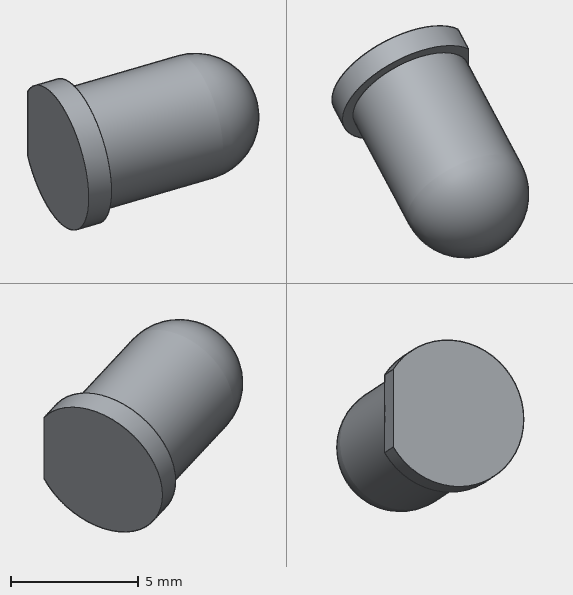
import cadquery as cq

total_length = 8.6
body_diameter = 5.0
flange_diameter = 5.9
flange_thickness = 1.0

body_radius = body_diameter / 2
flange_radius = flange_diameter / 2
dome_start = total_length - body_radius


def make_lens():
    """Cylinder along +Y ending in a hemispherical dome, revolved from a half profile."""
    dome_mid = body_radius * 0.5 ** 0.5
    return (
        cq.Workplane("XY")
        .lineTo(body_radius, 0)
        .lineTo(body_radius, dome_start)
        .threePointArc((dome_mid, dome_start + dome_mid), (0, total_length))
        .close()
        .revolve(360, (0, 0), (0, 1))
    )


def make_flange():
    """Round base disc with a flat on the -X side, tangent to the body."""
    flat_half_height = (flange_radius**2 - body_radius**2) ** 0.5
    return (
        cq.Workplane("XZ")
        .moveTo(-body_radius, -flat_half_height)
        .threePointArc((flange_radius, 0), (-body_radius, flat_half_height))
        .close()
        .extrude(-flange_thickness)
    )


result = make_lens().union(make_flange())